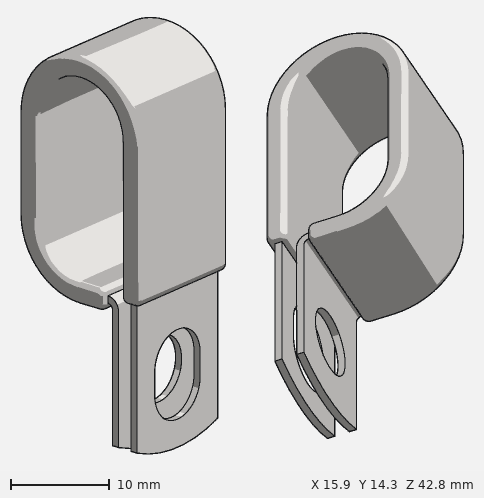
import cadquery as cq

total_height = 42.8
loop_width = 15.9
cushion_depth = 14.3

strap_thickness = 0.8
cushion_thickness = 2.4
cushion_rounding = 0.75

outer_radius = loop_width / 2
inner_radius = outer_radius - cushion_thickness
middle_radius = outer_radius - cushion_thickness / 2
straight_length = 11.1
upper_center_z = total_height - outer_radius
lower_center_z = upper_center_z - straight_length
foot_end_x = 3.3
leg_bottom_z = 17.38

strap_width = cushion_depth - 2 * cushion_rounding
tab_spacing = 2.45
tab_tip_height = 1.3
bend_inner_radius = 0.6
hole_diameter = 7.2
slot_travel = 2.55
hole_center_z = 7.95


def make_cushion():
    """J-shaped loop with every outside edge rounded."""
    profile = (
        cq.Workplane("XZ")
        .moveTo(outer_radius, leg_bottom_z)
        .lineTo(outer_radius, upper_center_z)
        .threePointArc((0, upper_center_z + outer_radius), (-outer_radius, upper_center_z))
        .lineTo(-outer_radius, lower_center_z)
        .radiusArc((0, lower_center_z - outer_radius), -outer_radius)
        .lineTo(foot_end_x, lower_center_z - outer_radius)
        .lineTo(foot_end_x, lower_center_z - inner_radius)
        .lineTo(0, lower_center_z - inner_radius)
        .radiusArc((-inner_radius, lower_center_z), inner_radius)
        .lineTo(-inner_radius, upper_center_z)
        .threePointArc((0, upper_center_z + inner_radius), (inner_radius, upper_center_z))
        .lineTo(inner_radius, leg_bottom_z)
        .close()
    )
    body = profile.extrude(cushion_depth / 2, both=True)
    leg_end = cq.selectors.NearestToPointSelector((middle_radius, 0, leg_bottom_z))
    foot_end = cq.selectors.NearestToPointSelector((foot_end_x, 0, lower_center_z - middle_radius))
    side_edges = body.faces("|Y").edges()
    end_edges = body.faces(leg_end).edges().add(body.faces(foot_end).edges())
    return side_edges.add(end_edges).fillet(cushion_rounding)


def make_straight_tab():
    """Strap running down out of the long leg; its upper end is buried in the cushion."""
    return cq.Workplane("XY").box(
        strap_thickness, strap_width, upper_center_z, centered=(True, True, False)
    ).translate((middle_radius, 0, 0))


def make_bent_tab():
    """Strap leaving the foot and bending down, parallel to the straight tab."""
    outside_x = middle_radius - tab_spacing + strap_thickness / 2
    inside_x = outside_x - strap_thickness
    top_z = lower_center_z - middle_radius + strap_thickness / 2
    underside_z = top_z - strap_thickness
    bend_outer_radius = bend_inner_radius + strap_thickness
    bend_x = inside_x - bend_inner_radius
    bend_z = underside_z - bend_inner_radius
    return (
        cq.Workplane("XZ")
        .moveTo(0, top_z)
        .lineTo(bend_x, top_z)
        .radiusArc((outside_x, bend_z), bend_outer_radius)
        .lineTo(outside_x, 0)
        .lineTo(inside_x, 0)
        .lineTo(inside_x, bend_z)
        .radiusArc((bend_x, underside_z), -bend_inner_radius)
        .lineTo(0, underside_z)
        .close()
        .extrude(strap_width / 2, both=True)
    )


def make_tab_outline():
    """Block with a curved lower end, used to trim both tabs."""
    half_width = strap_width / 2
    return (
        cq.Workplane("YZ")
        .moveTo(-half_width, tab_tip_height)
        .threePointArc((0, 0), (half_width, tab_tip_height))
        .lineTo(half_width, total_height)
        .lineTo(-half_width, total_height)
        .close()
        .extrude(loop_width / 2, both=True)
    )


def make_bolt_hole():
    """Round hole through the bent tab."""
    return cq.Workplane("YZ").center(0, hole_center_z).circle(hole_diameter / 2).extrude(outer_radius)


def make_bolt_slot():
    """Vertical slot through the straight tab, as wide as the round hole."""
    slot_length = hole_diameter + slot_travel
    slot = cq.Workplane("YZ").center(0, hole_center_z).slot2D(slot_length, hole_diameter, 90)
    return slot.extrude(outer_radius)


tab_outline = make_tab_outline()
bent_tab = make_bent_tab().intersect(tab_outline).cut(make_bolt_hole())
straight_tab = make_straight_tab().intersect(tab_outline).cut(make_bolt_slot())
result = make_cushion().union(bent_tab).union(straight_tab)